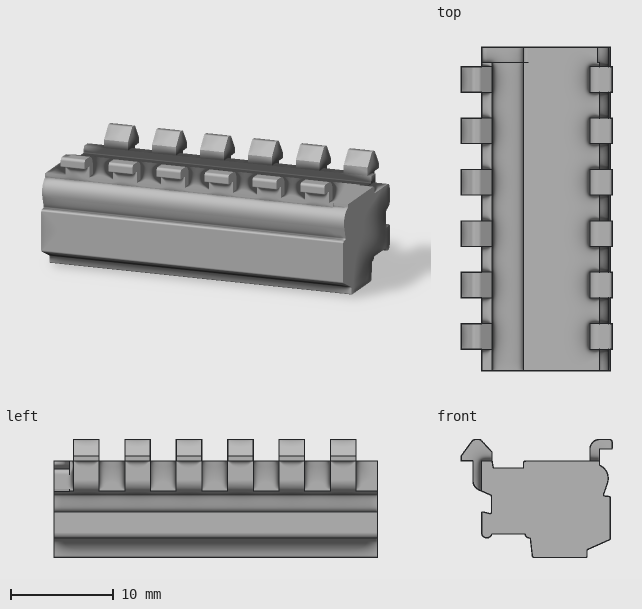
import cadquery as cq
import math

LENGTH = 31.5
BODY_TOP = 9.4
TOTAL_HEIGHT = 11.5
BODY_RIGHT = 12.54

SIDE_NOTCH_X = 0.95
NOTCH_TOP_Z = 6.47
NOTCH_ROOF_DROP = 0.42
NOTCH_FLOOR_Z = 4.25
LIP_TOP_Z = 4.5
LIP_FOOT_Z = 1.91
UNDERSIDE_Z = 2.28
KEEL_LEFT_X = 4.95
KEEL_RIGHT_X = 10.27
KEEL_LEAN = 0.22
KEEL_SLOPE_Z = 0.76
RIGHT_SLOPE_TOP_Z = 1.77
RIGHT_SLOPE_RADIUS = 0.2
KEEL_LEFT_RADIUS = 0.2
LIP_RADIUS = 0.15
LIP_ROUND_Z = 2.47
FOOT_MIDDLE_X = 0.55
FOOT_RIGHT_X = 1.0
COVE_WIDTH = 0.5
COVE_MIDDLE = (0.36, 0.1)
SMALL_RADIUS = 0.12

GROOVE_FLOOR_Z = 8.72
GROOVE_LEFT_X = 1.15
GROOVE_RIGHT_X = 4.07
RIDGE_WIDTH = 1.04
GROOVE_EDGE_RADIUS = 0.2

BEAD_LEFT_X = 11.48
BEAD_CENTER = (10.92, 7.7)
BEAD_RADIUS = 1.41
BEAD_ARC_END = -20
BEAD_BOTTOM = (11.98, 6.43)
SHOULDER_Z = 5.95
SHOULDER_RISE = 0.06
SHOULDER_RADIUS = 0.18
BEAD_NOTCH_X = 11.83

END_THICKNESS = 1.5
END_FLOOR_Z = 8.63
END_LEFT_RADIUS = 0.55
END_STEP_RADIUS = 0.45
END_BEVEL_HEIGHT = 0.18
END_BEVEL_WIDTH = 0.05
END_WALL_SETBACK = 0.2

COUNT = 6
PITCH = 5.0
TAB_WIDTH = 2.5
FIRST_TAB_GAP = 1.9
STEM_LEFT_X = -0.85
STEM_RADIUS = 1.0
HOOK_TIP_X = -1.98
HOOK_TIP_Z = 9.9
HOOK_PEAK_LEFT_X = -0.81
HOOK_PEAK_RIGHT_X = -0.12
HOOK_PEAK_LEFT_RADIUS = 0.5
HOOK_PEAK_RIGHT_RADIUS = 0.3
HOOK_BACK_Z = 10.25
CLIP_THICKNESS = 0.95
CLIP_TIP_X = 12.72
CLIP_TIP_RADIUS = 0.3

NOTCH_SLOPE = NOTCH_ROOF_DROP / SIDE_NOTCH_X


def corner_arc(before, corner, after, radius):
    """Start, middle and end of the arc that rounds a corner."""
    def unit_towards(point):
        dx = point[0] - corner[0]
        dz = point[1] - corner[1]
        size = math.hypot(dx, dz)
        return dx / size, dz / size

    ax, az = unit_towards(before)
    bx, bz = unit_towards(after)
    half = math.acos(ax * bx + az * bz) / 2
    tangent = radius / math.tan(half)
    reach = radius / math.sin(half) - radius
    mid_size = math.hypot(ax + bx, az + bz)
    start = (corner[0] + ax * tangent, corner[1] + az * tangent)
    middle = (
        corner[0] + (ax + bx) / mid_size * reach,
        corner[1] + (az + bz) / mid_size * reach,
    )
    end = (corner[0] + bx * tangent, corner[1] + bz * tangent)
    return start, middle, end


def prism(corners, y_min, y_max):
    """Extrude a closed XZ outline of (x, z) or (x, z, corner radius) points.

    The first corner is sharp. A point (x, z, "through") is the middle of an
    arc that runs from the point before it to the point after it.
    """
    path = cq.Workplane("XZ", origin=(0, y_max, 0)).moveTo(*corners[0][:2])
    through = None
    for i, point in enumerate(corners[1:], start=1):
        spot = point[:2]
        shape = point[2] if len(point) > 2 else None
        if shape == "through":
            through = spot
        elif through is not None:
            path = path.threePointArc(through, spot)
            through = None
        elif shape is None:
            path = path.lineTo(*spot)
        else:
            after = corners[(i + 1) % len(corners)][:2]
            start, middle, end = corner_arc(corners[i - 1][:2], spot, after, shape)
            path = path.lineTo(*start).threePointArc(middle, end)
    return path.close().extrude(y_max - y_min)


def bead_top(x):
    """Point on the upper part of the bead's arc."""
    return x, BEAD_CENTER[1] + math.sqrt(BEAD_RADIUS**2 - (x - BEAD_CENTER[0]) ** 2)


def bead_at(degrees):
    """Point on the bead's arc at an angle from +X."""
    angle = math.radians(degrees)
    return (
        BEAD_CENTER[0] + BEAD_RADIUS * math.cos(angle),
        BEAD_CENTER[1] + BEAD_RADIUS * math.sin(angle),
    )


def lower_outline():
    """Points from the bead, around the bottom, up to the notch roof."""
    keel_root_x = KEEL_LEFT_X - KEEL_LEAN
    cove_left, cove_rise = COVE_MIDDLE
    return [
        (*bead_at(0), "through"),
        bead_at(BEAD_ARC_END),
        BEAD_BOTTOM,
        (BEAD_NOTCH_X, SHOULDER_Z + SHOULDER_RISE, SMALL_RADIUS),
        (BODY_RIGHT, SHOULDER_Z, SHOULDER_RADIUS),
        (BODY_RIGHT, RIGHT_SLOPE_TOP_Z, RIGHT_SLOPE_RADIUS),
        (KEEL_RIGHT_X, KEEL_SLOPE_Z, SMALL_RADIUS),
        (KEEL_RIGHT_X, 0, SMALL_RADIUS),
        (KEEL_LEFT_X, 0, KEEL_LEFT_RADIUS),
        (keel_root_x, LIP_FOOT_Z),
        (keel_root_x - cove_left, LIP_FOOT_Z + cove_rise, "through"),
        (keel_root_x - COVE_WIDTH, UNDERSIDE_Z),
        (FOOT_RIGHT_X, UNDERSIDE_Z),
        (FOOT_MIDDLE_X, LIP_FOOT_Z, "through"),
        (0, LIP_ROUND_Z),
        (0, LIP_TOP_Z, LIP_RADIUS),
        (SIDE_NOTCH_X, NOTCH_FLOOR_Z, SMALL_RADIUS),
        (SIDE_NOTCH_X, NOTCH_TOP_Z - NOTCH_ROOF_DROP, SMALL_RADIUS),
    ]


def body():
    corners = [
        (0, NOTCH_TOP_Z),
        (0, BODY_TOP),
        (RIDGE_WIDTH, BODY_TOP),
        (GROOVE_LEFT_X, GROOVE_FLOOR_Z, SMALL_RADIUS),
        (GROOVE_RIGHT_X, GROOVE_FLOOR_Z),
        (GROOVE_RIGHT_X, BODY_TOP, GROOVE_EDGE_RADIUS),
        (BEAD_LEFT_X, BODY_TOP),
        bead_top(BEAD_LEFT_X),
    ]
    return prism(corners + lower_outline(), -LENGTH / 2, LENGTH / 2 - END_THICKNESS)


def end_section():
    wall_x = BEAD_LEFT_X - END_WALL_SETBACK
    bevel_top = NOTCH_TOP_Z + END_BEVEL_HEIGHT
    corners = [
        (END_BEVEL_WIDTH, NOTCH_TOP_Z - END_BEVEL_WIDTH * NOTCH_SLOPE),
        (0, bevel_top),
        (0, END_FLOOR_Z, END_LEFT_RADIUS),
        (GROOVE_RIGHT_X, END_FLOOR_Z),
        (GROOVE_RIGHT_X, BODY_TOP, END_STEP_RADIUS),
        (wall_x, BODY_TOP),
        bead_top(wall_x),
    ]
    return prism(corners + lower_outline(), LENGTH / 2 - END_THICKNESS, LENGTH / 2)


def hook(y_min, y_max):
    corners = [
        (0, BODY_TOP),
        (0, NOTCH_TOP_Z),
        (STEM_LEFT_X, NOTCH_TOP_Z - STEM_LEFT_X * NOTCH_SLOPE, STEM_RADIUS),
        (STEM_LEFT_X, BODY_TOP),
        (HOOK_TIP_X, BODY_TOP),
        (HOOK_TIP_X, HOOK_TIP_Z),
        (HOOK_PEAK_LEFT_X, TOTAL_HEIGHT, HOOK_PEAK_LEFT_RADIUS),
        (HOOK_PEAK_RIGHT_X, TOTAL_HEIGHT, HOOK_PEAK_RIGHT_RADIUS),
        (RIDGE_WIDTH, HOOK_BACK_Z),
        (RIDGE_WIDTH, BODY_TOP),
    ]
    return prism(corners, y_min, y_max)


def clip(y_min, y_max):
    tip_underside = TOTAL_HEIGHT - CLIP_THICKNESS
    corners = [
        (BEAD_LEFT_X - CLIP_THICKNESS, BODY_TOP),
        (BEAD_LEFT_X - CLIP_THICKNESS, TOTAL_HEIGHT, CLIP_THICKNESS),
        (CLIP_TIP_X, TOTAL_HEIGHT, CLIP_TIP_RADIUS),
        (CLIP_TIP_X, tip_underside, SMALL_RADIUS),
        (BEAD_LEFT_X, tip_underside),
        (BEAD_LEFT_X, BODY_TOP),
    ]
    return prism(corners, y_min, y_max)


result = body().union(end_section())
for index in range(COUNT):
    tab_end = LENGTH / 2 - FIRST_TAB_GAP - index * PITCH
    tab_start = tab_end - TAB_WIDTH
    result = result.union(hook(tab_start, tab_end))
    result = result.union(clip(tab_start, tab_end))